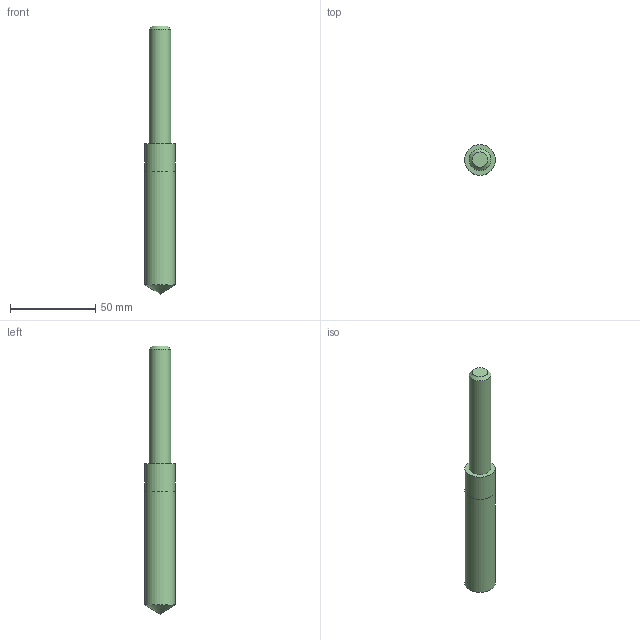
import cadquery as cq
import math

overall_length = 157.0
cutter_diameter = 18.01
shank_diameter = 12.7
shank_length = 69.0
collar_length = 16.0
point_angle = 118.0
chamfer_size = 1.8

cutter_radius = cutter_diameter / 2
shank_radius = shank_diameter / 2
point_height = cutter_radius / math.tan(math.radians(point_angle / 2))
collar_top = overall_length - shank_length
collar_bottom = collar_top - collar_length


def revolve_profile(points):
    """Turn a closed (radius, height) outline about the Z axis."""
    return cq.Workplane("XZ").polyline(points).close().revolve(360, (0, 0), (0, 1))


def make_holder():
    """Chamfered cylindrical shank standing on a wider collar."""
    return revolve_profile([
        (0, collar_bottom),
        (cutter_radius, collar_bottom),
        (cutter_radius, collar_top),
        (shank_radius, collar_top),
        (shank_radius, overall_length - chamfer_size),
        (shank_radius - chamfer_size, overall_length),
        (0, overall_length),
    ])


def make_cutter():
    """Cylindrical cutting body with a conical point, butted against the collar."""
    return revolve_profile([
        (0, 0),
        (cutter_radius, point_height),
        (cutter_radius, collar_bottom),
        (0, collar_bottom),
    ])


holder = make_holder()
cutter = make_cutter()

result = cq.Compound.makeCompound([holder.val(), cutter.val()])